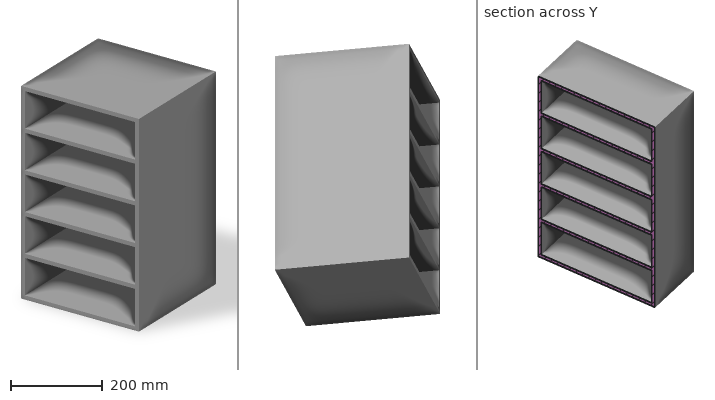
import cadquery as cq

board_thickness = 10.0
compartment_count = 5
compartment_width = 290.0
compartment_height = 90.0
depth = 300.0

shelf_pitch = compartment_height + board_thickness
outer_width = compartment_width + 2 * board_thickness
outer_height = compartment_count * shelf_pitch + board_thickness


def make_body():
    """Solid outer block, centred on the origin."""
    return cq.Workplane("XY").box(outer_width, depth, outer_height)


def cut_compartments(body):
    """Cut the stacked compartments through the full depth."""
    compartment = cq.Workplane("XY").box(compartment_width, depth, compartment_height)
    for index in range(compartment_count):
        center_z = (index - (compartment_count - 1) / 2) * shelf_pitch
        body = body.cut(compartment.translate((0, 0, center_z)))
    return body


result = cut_compartments(make_body())